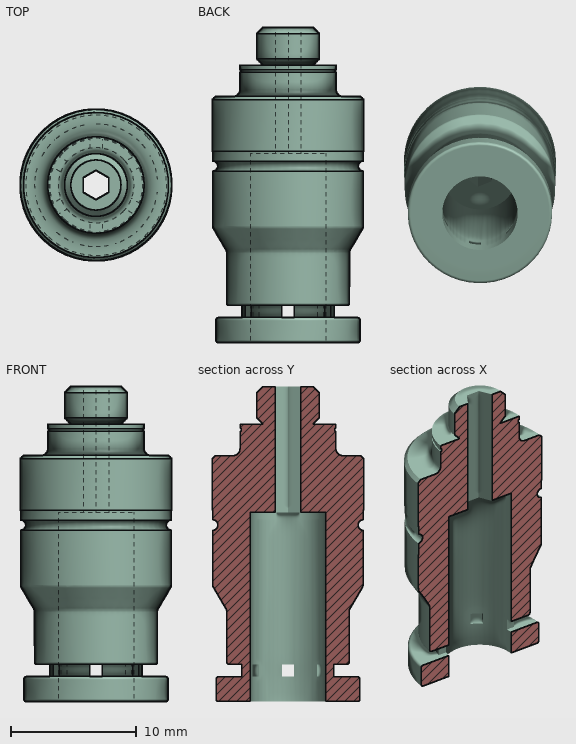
import cadquery as cq
import math

total_height = 25.1
neck_top = 22.6
washer_top = 22.1
washer_bottom = 21.74
spigot_top = 21.54
shoulder_height = 19.6
step_height = 15.24
groove_center = 14.05
body_bottom = 9.19
sleeve_top = 7.3
sleeve_bottom = 2.95
ring_height = 2.0

collar_diameter = 12.1
body_diameter = 12.0
ring_diameter = 11.5
sleeve_diameter = 9.8
spigot_diameter = 7.68
relief_diameter = 7.5
tip_diameter = 5.0
neck_diameter = 4.0
finger_diameter = 7.38
bore_diameter = 6.0

tip_chamfer = 0.5
shoulder_chamfer = 0.28
spigot_fillet = 0.5
groove_radius = 0.4
cone_edge_fillet = 0.4
sleeve_fillet = 0.2
ring_fillet = 0.23

bore_top = 15.05
hex_flats = 2.0
slot_width = 0.98
slot_count = 3


def cylinder(diameter, bottom, top):
    return cq.Workplane("XY").workplane(offset=bottom).circle(diameter / 2).extrude(top - bottom)


def make_body():
    """Revolved outside of the fitting, from the sleeve to the tip."""
    spigot_radius = spigot_diameter / 2
    collar_radius = collar_diameter / 2
    body_radius = body_diameter / 2
    sleeve_radius = sleeve_diameter / 2
    tip_radius = tip_diameter / 2
    fillet_offset = spigot_fillet * (1 - math.sqrt(0.5))
    body = (
        cq.Workplane("XZ")
        .moveTo(0, total_height)
        .lineTo(tip_radius - tip_chamfer, total_height)
        .lineTo(tip_radius, total_height - tip_chamfer)
        .lineTo(tip_radius, neck_top)
        .lineTo(neck_diameter / 2, washer_top)
        .lineTo(spigot_radius, washer_top)
        .lineTo(spigot_radius, washer_bottom)
        .lineTo(relief_diameter / 2, washer_bottom)
        .lineTo(relief_diameter / 2, spigot_top)
        .lineTo(spigot_radius, spigot_top)
        .lineTo(spigot_radius, shoulder_height + spigot_fillet)
        .threePointArc(
            (spigot_radius + fillet_offset, shoulder_height + fillet_offset),
            (spigot_radius + spigot_fillet, shoulder_height),
        )
        .lineTo(collar_radius - shoulder_chamfer, shoulder_height)
        .lineTo(collar_radius, shoulder_height - shoulder_chamfer)
        .lineTo(collar_radius, step_height)
        .lineTo(body_radius, step_height)
        .lineTo(body_radius, groove_center + groove_radius)
        .threePointArc(
            (body_radius - groove_radius, groove_center),
            (body_radius, groove_center - groove_radius),
        )
        .lineTo(body_radius, body_bottom)
        .lineTo(sleeve_radius, sleeve_top)
        .lineTo(sleeve_radius, sleeve_bottom)
        .lineTo(0, sleeve_bottom)
        .close()
        .revolve(360, (0, 0, 0), (0, 1, 0))
    )
    for height in (body_bottom, sleeve_top):
        edge_zone = cq.selectors.BoxSelector(
            (-body_diameter, -body_diameter, height - 0.03),
            (body_diameter, body_diameter, height + 0.03),
        )
        body = body.edges("%CIRCLE").edges(edge_zone).fillet(cone_edge_fillet)
    return body.faces("<Z").edges().fillet(sleeve_fillet)


def make_release_ring():
    """Bottom flange with six fingers reaching up into the body."""
    flange = cylinder(ring_diameter, 0, ring_height).edges("%CIRCLE").fillet(ring_fillet)
    fingers = cylinder(finger_diameter, ring_height, sleeve_bottom)
    for index in range(slot_count):
        slot = (
            cq.Workplane("XY")
            .box(ring_diameter, slot_width, sleeve_bottom - ring_height, centered=(True, True, False))
            .rotate((0, 0, 0), (0, 0, 1), 90 + index * 180 / slot_count)
            .translate((0, 0, ring_height))
        )
        fingers = fingers.cut(slot)
    return flange.union(fingers)


tube_bore = cylinder(bore_diameter, 0, bore_top)
hex_socket = (
    cq.Workplane("XY")
    .workplane(offset=bore_top)
    .polygon(6, hex_flats / math.cos(math.pi / 6))
    .extrude(total_height - bore_top)
    .rotate((0, 0, 0), (0, 0, 1), 90)
)

result = make_body().union(make_release_ring()).cut(tube_bore).cut(hex_socket)